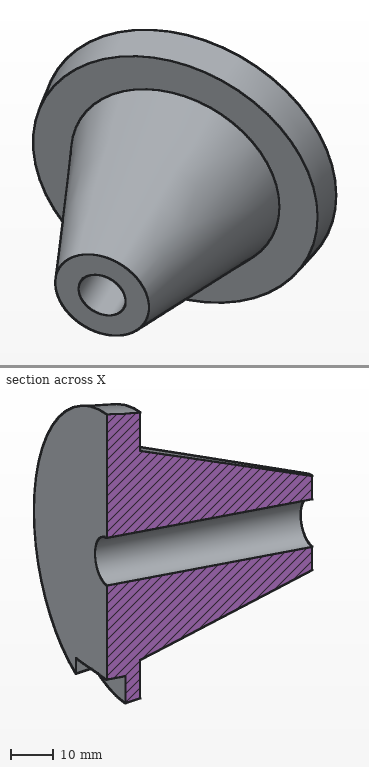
import cadquery as cq

total_length = 55.0
flange_thickness = 9.0
flange_back_diameter = 75.2
flange_front_diameter = 72.95
cone_base_diameter = 53.4
cone_tip_diameter = 24.1
bore_diameter = 12.0

notch_width = 31.9
notch_depth = 5.0
notch_height = 7.5

flange_front_y = total_length - flange_thickness
flange_back_radius = flange_back_diameter / 2


def make_body():
    """Tapered flange and hollow cone revolved in one piece."""
    half_section = [
        (bore_diameter / 2, 0),
        (cone_tip_diameter / 2, 0),
        (cone_base_diameter / 2, flange_front_y),
        (flange_front_diameter / 2, flange_front_y),
        (flange_back_radius, total_length),
        (bore_diameter / 2, total_length),
    ]
    profile = cq.Workplane("XY").polyline(half_section).close()
    return profile.revolve(360, (0, 0, 0), (0, 1, 0))


def make_notch():
    """Rectangular cutter reaching up from the lowest point of the rim."""
    cutter = cq.Workplane("XY").box(notch_width, notch_depth, notch_height, centered=(True, False, False))
    return cutter.translate((0, total_length - notch_depth, -flange_back_radius))


result = make_body().cut(make_notch())